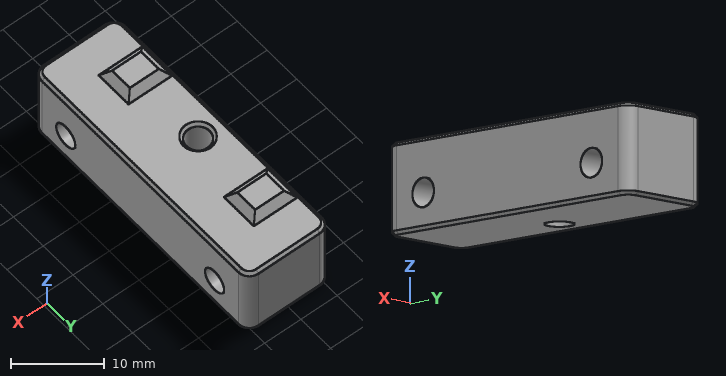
import cadquery as cq

length = 36.0
width = 11.5
body_height = 10.0
corner_radius = 1.5
edge_chamfer = 0.4

boss_width = 6.0
boss_length = 5.0
boss_height = 1.0
boss_spacing = 21.02
centre_line_x = -width / 2 + 3.5

hole_diameter = 3.2
countersink_depth = 0.4
side_hole_spacing = 25.0
side_hole_height = 4.0


def make_body():
    """Block with rounded vertical corners and chamfered top and bottom rims."""
    block = cq.Workplane("XY").box(width, length, body_height, centered=(True, True, False))
    return block.edges("|Z").fillet(corner_radius).faces("<Z or >Z").edges().chamfer(edge_chamfer)


def make_boss(y):
    """Flat-topped pyramid with 45 degree flanks standing on the top face."""
    return (
        cq.Workplane("XY", origin=(centre_line_x, y, body_height))
        .rect(boss_width, boss_length)
        .extrude(boss_height, taper=45)
    )


def make_vertical_hole():
    """Through hole along Z with a 45 degree countersink at the top."""
    radius = hole_diameter / 2
    mouth_radius = radius + countersink_depth
    return (
        cq.Workplane("XZ")
        .moveTo(0, 0)
        .lineTo(radius, 0)
        .lineTo(radius, body_height - countersink_depth)
        .lineTo(mouth_radius, body_height)
        .lineTo(0, body_height)
        .close()
        .revolve(360, (0, 0), (0, 1))
        .translate((centre_line_x, 0, 0))
    )


def make_side_hole(y):
    """Plain through hole along X."""
    return (
        cq.Workplane("YZ", origin=(-width / 2, y, side_hole_height))
        .circle(hole_diameter / 2)
        .extrude(width)
    )


result = make_body().cut(make_vertical_hole())
for side in (-1, 1):
    result = result.union(make_boss(side * boss_spacing / 2))
    result = result.cut(make_side_hole(side * side_hole_spacing / 2))